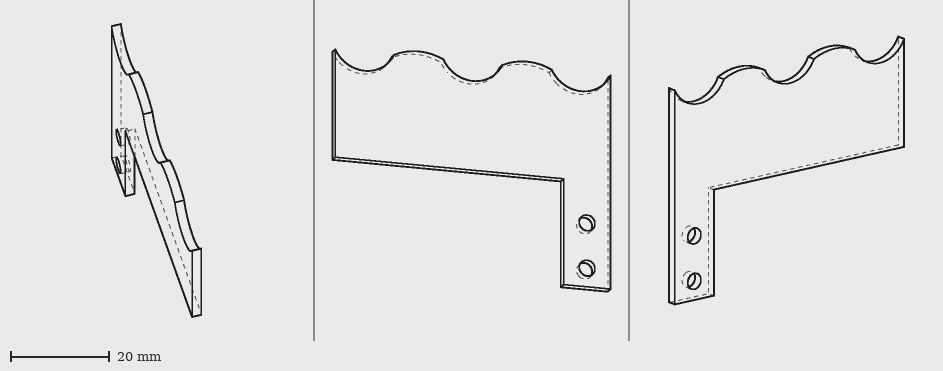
import cadquery as cq

length = 58.4
height = 46.5
thickness = 2.0

leg_width = 10.0
leg_height = 22.4
hole_diameter = 3.3
hole_heights = (3.95, 13.55)

scallop_count = 3
scallop_width = 12.5
scallop_depth = 3.95
crest_rise = 1.2
pitch = (length - scallop_width) / (scallop_count - 1)
shoulder_z = height - crest_rise
scallop_z = shoulder_z - scallop_depth


def plate():
    """L-shaped plate in the XZ plane, its top edge drawn from left to right."""
    outline = cq.Workplane("XZ").moveTo(0, 0).lineTo(0, shoulder_z)
    for index in range(scallop_count):
        start = index * pitch
        end = start + scallop_width
        outline = outline.threePointArc((start + scallop_width / 2, scallop_z), (end, shoulder_z))
        if index < scallop_count - 1:
            next_start = start + pitch
            outline = outline.threePointArc(((end + next_start) / 2, height), (next_start, shoulder_z))
    outline = outline.lineTo(length, leg_height).lineTo(leg_width, leg_height).lineTo(leg_width, 0)
    return outline.close().extrude(-thickness)


def leg_holes():
    """Through holes on the centre line of the leg."""
    centres = [(leg_width / 2, z) for z in hole_heights]
    return cq.Workplane("XZ").pushPoints(centres).circle(hole_diameter / 2).extrude(-thickness)


result = plate().cut(leg_holes())